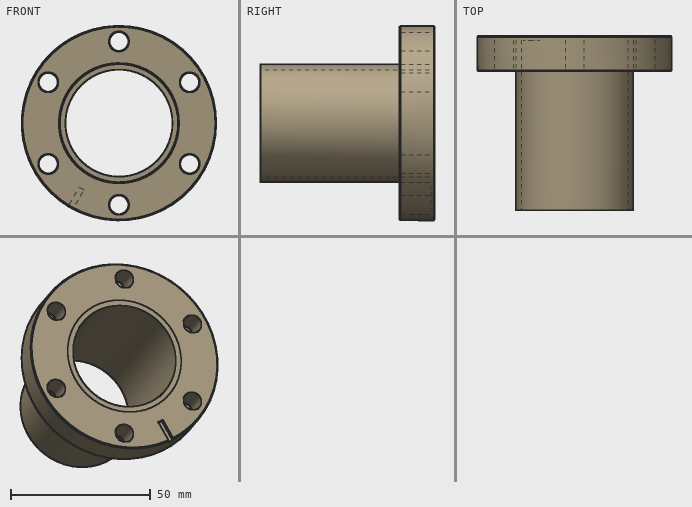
import cadquery as cq
import math


flange_diameter = 70.0
flange_thickness = 12.7
rim_chamfer = 0.4

bolt_count = 6
first_bolt_angle = 90.0
bolt_circle_diameter = 58.7
bolt_hole_diameter = 6.7
bolt_hole_chamfer = 0.3

tube_diameter = 42.4
tube_wall = 2.0
tube_projection = 50.0
tube_bore_diameter = tube_diameter - 2 * tube_wall
socket_chamfer = 0.45

groove_width = 2.0
groove_depth = 1.5
groove_length = 8.0
groove_angle = 240.0


def cylinder(diameter, y_start, y_end):
    """Round bar on the Y axis from y_start to y_end."""
    plane = cq.Workplane("XZ", origin=(0, y_start, 0))
    return plane.circle(diameter / 2).extrude(y_start - y_end)


def mouth_chamfer(diameter, size):
    """Cone that bevels the mouth of a hole opening at Y = 0."""
    radius = diameter / 2
    profile = cq.Workplane("XY").polyline([(0, 0), (radius + size, 0), (radius, size), (0, size)]).close()
    return profile.revolve(360, (0, 0, 0), (0, 1, 0))


def chamfered_hole(diameter, chamfer):
    """Cutter for a through hole with a bevelled mouth at Y = 0."""
    return cylinder(diameter, 0, flange_thickness).union(mouth_chamfer(diameter, chamfer))


def leak_check_groove():
    """Cutter for the radial groove, open at the rim and at the outer face."""
    groove = cq.Workplane("XY").box(
        groove_length, groove_depth, groove_width, centered=(False, False, True)
    )
    start_radius = flange_diameter / 2 - groove_length
    groove = groove.translate((start_radius, flange_thickness - groove_depth, 0))
    return groove.rotate((0, 0, 0), (0, 1, 0), -groove_angle)


def make_flange():
    disc = cylinder(flange_diameter, 0, flange_thickness).edges().chamfer(rim_chamfer)
    disc = disc.cut(chamfered_hole(tube_diameter, socket_chamfer))
    bolt_hole = chamfered_hole(bolt_hole_diameter, bolt_hole_chamfer)
    bolt_radius = bolt_circle_diameter / 2
    for index in range(bolt_count):
        angle = math.radians(first_bolt_angle + index * 360 / bolt_count)
        position = (bolt_radius * math.cos(angle), 0, bolt_radius * math.sin(angle))
        disc = disc.cut(bolt_hole.translate(position))
    return disc.cut(leak_check_groove()).solids()


def make_tube():
    outside = cylinder(tube_diameter, -tube_projection, flange_thickness)
    return outside.cut(cylinder(tube_bore_diameter, -tube_projection, flange_thickness)).solids()


flange = make_flange()
tube = make_tube()

result = cq.Compound.makeCompound([flange.val(), tube.val()])